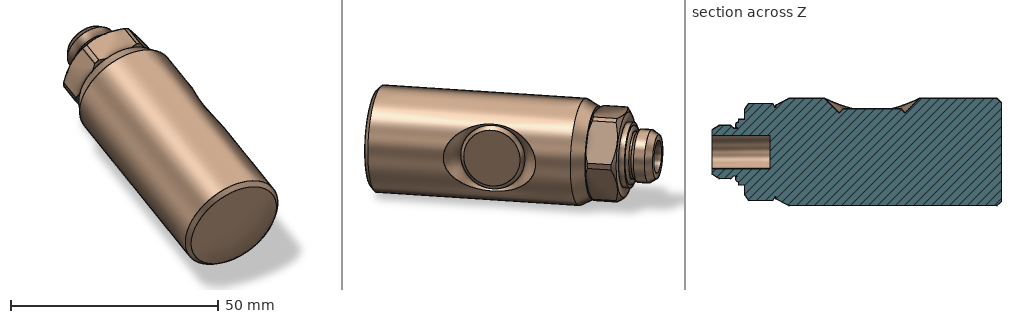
import cadquery as cq
import math

total_length = 69.9
body_diameter = 26.0

nose_diameter = 13.0
nose_tip_diameter = 10.75
nose_chamfer_length = 1.75
nose_straight_end = 4.5
neck_diameter = 11.6
neck_start = 5.25
collar_start = 6.35
collar_diameter = 15.95

ring_x = 6.4
ring_centreline_diameter = 13.0
ring_thickness = 1.55

hex_start = 7.8
hex_end = 15.4
hex_across_flats = 21.0
hex_corner_diameter = 23.5
hex_front_face_diameter = 20.7
hex_front_chamfer_length = 1.0
hex_back_face_diameter = 21.5
hex_back_chamfer_length = 0.7

barrel_front_diameter = 22.65
barrel_taper_end = 18.6
barrel_end_chamfer = 1.05

bore_diameter = 8.0
bore_depth = 14.0

recess_x = 38.65
recess_mouth_diameter = 22.9
button_top_diameter = 14.0
button_top_y = 10.5

body_radius = body_diameter / 2


def turned(points):
    """Solid of revolution about X from (x, radius) points, closed along the axis."""
    first_x = points[0][0]
    last_x = points[-1][0]
    outline = [(first_x, 0)] + points + [(last_x, 0)]
    return cq.Workplane("XY").polyline(outline).close().revolve(360, (0, 0, 0), (1, 0, 0))


def nose_and_collar():
    return turned([
        (0, nose_tip_diameter / 2),
        (nose_chamfer_length, nose_diameter / 2),
        (nose_straight_end, nose_diameter / 2),
        (neck_start, neck_diameter / 2),
        (collar_start, neck_diameter / 2),
        (collar_start, collar_diameter / 2),
        (hex_start, collar_diameter / 2),
    ])


def sealing_ring():
    """Torus about X."""
    ring_radius = ring_centreline_diameter / 2
    return (
        cq.Workplane("XY", origin=(ring_x, ring_radius, 0))
        .circle(ring_thickness / 2)
        .revolve(360, (0, -ring_radius, 0), (1, -ring_radius, 0))
    )


def hex_nut():
    """Hexagon with flats facing +Z and -Z, its corners turned down and chamfered."""
    sharp_corner_diameter = hex_across_flats / math.cos(math.pi / 6)
    prism = (
        cq.Workplane("YZ", origin=(hex_start, 0, 0))
        .polygon(6, sharp_corner_diameter)
        .extrude(hex_end - hex_start)
    )
    envelope = turned([
        (hex_start, hex_front_face_diameter / 2),
        (hex_start + hex_front_chamfer_length, hex_corner_diameter / 2),
        (hex_end - hex_back_chamfer_length, hex_corner_diameter / 2),
        (hex_end, hex_back_face_diameter / 2),
    ])
    return prism.intersect(envelope)


def barrel():
    return turned([
        (hex_end, barrel_front_diameter / 2),
        (barrel_taper_end, body_radius),
        (total_length - barrel_end_chamfer, body_radius),
        (total_length, body_radius - barrel_end_chamfer),
    ])


def nose_bore():
    return cq.Workplane("YZ").circle(bore_diameter / 2).extrude(bore_depth)


def button_recess():
    """Cutter about a Y axis; rim and button bevel meet at 45 degrees in a V groove."""
    mouth_radius = recess_mouth_diameter / 2
    button_radius = button_top_diameter / 2
    button_drop = body_radius - button_top_y
    groove_radius = (mouth_radius + button_radius - button_drop) / 2
    groove_y = button_top_y - (groove_radius - button_radius)
    outline = [
        (recess_x, button_top_y),
        (recess_x + button_radius, button_top_y),
        (recess_x + groove_radius, groove_y),
        (recess_x + mouth_radius, body_radius),
        (recess_x, body_radius),
    ]
    axis_start = (recess_x, 0, 0)
    axis_end = (recess_x, 1, 0)
    return cq.Workplane("XY").polyline(outline).close().revolve(360, axis_start, axis_end)


result = (
    nose_and_collar()
    .union(sealing_ring())
    .union(hex_nut())
    .union(barrel())
    .cut(nose_bore())
    .cut(button_recess())
)